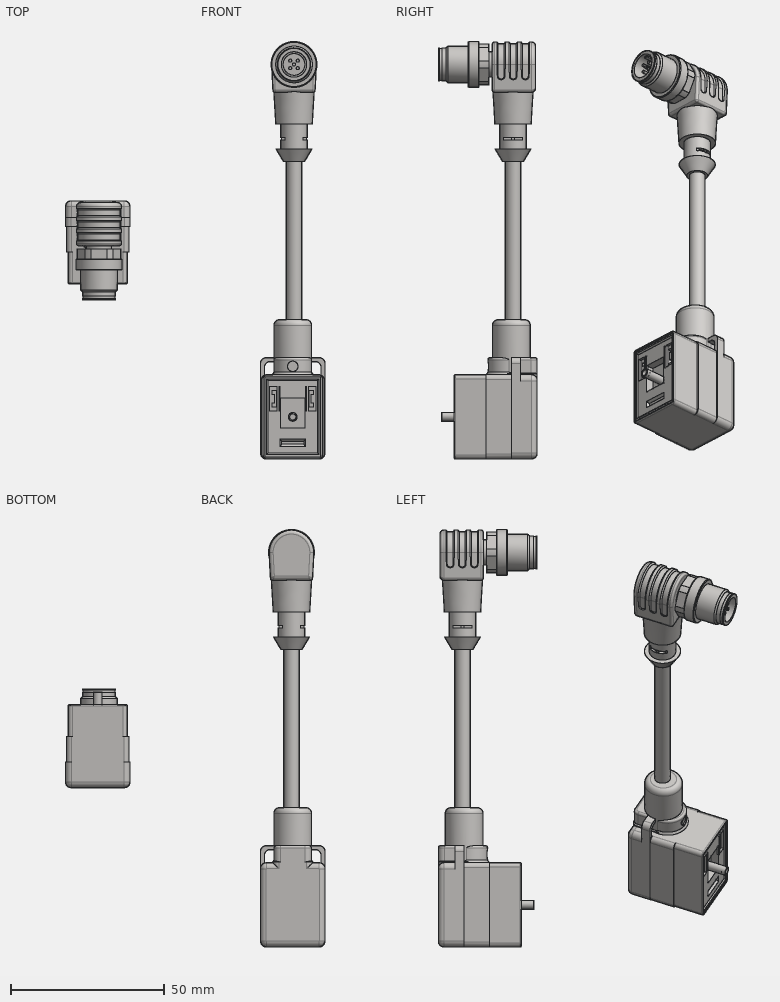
import cadquery as cq
import math


HOUSING_BACK = 8.5
HOUSING_FRONT = -18.7
HOUSING_TOP = 27.5
BRACKET_TOP = 33.1
SLEEVE_TOP = 45.5
CABLE_X = 0.4
CABLE_Y = 0.5
PLUG_AXIS_Z = 128.7
CUT_CLEARANCE = 1.4
JOINT_OVERLAP = 1.4

MIDDLE_START = 0.0
FRONT_START = -8.3
BACK_WIDTH = 21.1
MIDDLE_WIDTH = 20.4
FRONT_WIDTH = 19.3
BACK_RADIUS = 2.0
BACK_FACE_RADIUS = 1.9
MIDDLE_RADIUS = 1.6
FRONT_RADIUS = 1.4
FACE_EDGE_RADIUS = 0.4

PIN_Z = 13.8
PIN_DIAMETER = 2.9
PIN_TIP = -22.7
PIN_HOLE_DIAMETER = 2.0
PIN_HOLE_DEPTH = 1.4
RIM_DEPTH = 0.3
RIM_WIDTH = 18.0
RIM_Z = (0.7, 26.7)
RECESS_DEPTH = 0.7
RECESS_WIDTH = 17.0
RECESS_FLOOR_WIDTH = 16.0
RECESS_Z = (1.5, 26.1)
RECESS_FLOOR_Z = (2.0, 25.6)
FACE = HOUSING_FRONT + RECESS_DEPTH
WINDOW_WIDTH = 8.0
WINDOW_Z = (10.1, 19.9)
WINDOW_DEPTH = 2.7
SLIT_X = 4.4
SLIT_WIDTH = 0.3
SLIT_DEPTH = 0.7
TERMINAL_X = (5.2, 7.6)
TERMINAL_Z = (15.7, 23.7)
TERMINAL_DEPTH = 0.8
SOCKET_X = (5.3, 6.8)
SOCKET_Z = (17.0, 22.3)
SOCKET_WEB = 0.7
SOCKET_ARM = 1.2
SOCKET_DEPTH = 1.4
GROOVE_Z = 5.3
GROOVE_SIZE = (8.2, 2.3)
GROOVE_FLOOR_SIZE = (7.4, 1.0)
GROOVE_DEPTH = 0.8

BRACKET_DEPTH = 3.0
BRACKET_BAR = 1.4
BRACKET_OUTER_RADIUS = 1.9
BRACKET_INNER_RADIUS = 1.8
TOWER_FRONT = -1.2
TOWER_WIDTH = 12.1
TOWER_RADIUS = 2.0
TOWER_TOP_RADIUS = 0.8

SLEEVE_DIAMETER = 12.4
SLEEVE_RADIUS = SLEEVE_DIAMETER / 2
SLEEVE_TOP_FILLET = 1.9
COLLAR_OFFSET = 1.5
COLLAR_TOP_FILLET = 0.8
FLARE_HEIGHT = 0.8
FLARE_WIDTH = 0.5
DIMPLE_DIAMETER = 3.4
DIMPLE_Z = 30.2
DIMPLE_DEPTH = 0.5

CABLE_RADIUS = 2.6
CONE_BOTTOM_Z = 97.0
CONE_TOP_Z = 101.2
CONE_BOTTOM_RADIUS = 3.4
CONE_TOP_DIAMETER = 11.8
NECK_RADIUS = 4.4
NECK_SLOT_Z = 104.5
NECK_SLOT_HEIGHT = 1.0
NECK_SLOT_DEPTH = 1.4
NECK_WEB_WIDTH = 1.0
NECK_WEB_REACH = 4.1
GRIP_BOTTOM_Z = 109.2
GRIP_BOTTOM_RADIUS = 6.0
GRIP_TOP_RADIUS = 6.7

HEAD_BACK = 7.9
HEAD_FRONT = -6.3
HEAD_BOTTOM_Z = 119.5
HEAD_RADIUS = 7.4
HEAD_BOTTOM_WIDTH = 13.8
HEAD_BACK_RADIUS = 1.4
HEAD_EDGE_RADIUS = 0.8
GRIP_GROOVE_PITCH = 4.0
GRIP_GROOVE_COUNT = 3
GRIP_GROOVE_MIDDLE = 0.61
GRIP_GROOVE_FLOOR = 1.9
GRIP_GROOVE_FLOOR_RADIUS = 6.8
GRIP_GROOVE_BOTTOM_Z = 123.9
GRIP_GROOVE_WALL_ANGLE = 40.0

HEX_FLATS = 13.3
HEX_CORNER_DIAMETER = 14.3
HEX_BACK = -7.4
NUT_BACK = -10.5
NUT_FRONT = -14.2
NUT_DIAMETER = 15.0
NUT_CHAMFER = 0.3
NOSE_DIAMETER = 8.3
BARREL_DIAMETER = 12.0
BARREL_FRONT = -21.2
BARREL_CHAMFER = 0.5
TIP_DIAMETER = 10.8
TIP_GROOVE_DIAMETER = 10.5
TIP_GROOVE = (-23.4, -22.6)
PLUG_FRONT = -23.8
BORE_DIAMETER = 8.3
BORE_FLOOR = -17.0
INSERT_DIAMETER = 7.1
INSERT_FRONT = -18.4
KEY_WIDTH = 1.2
KEY_HEIGHT = 0.5
PLUG_PIN_DIAMETER = 1.0
PLUG_PIN_SPACING = 2.5
PLUG_PIN_TIP = -22.6


def box(x_range, y_range, z_range):
    """Box between the given limits."""
    sizes = [high - low for low, high in (x_range, y_range, z_range)]
    corner = (x_range[0], y_range[0], z_range[0])
    return cq.Workplane("XY").box(*sizes, centered=False).translate(corner)


def round_bar(diameter, y_back, y_front, x=0.0, z=0.0):
    """Cylinder along Y."""
    section = cq.Workplane("XZ", origin=(x, y_back, z)).circle(diameter / 2)
    return section.extrude(y_back - y_front)


def housing_section(width, y_back, y_front, radius):
    """Length of housing with its long edges rounded."""
    block = box((-width / 2, width / 2), (y_front, y_back), (0, HOUSING_TOP))
    return block.edges("|Y").fillet(radius)


def housing():
    back = housing_section(BACK_WIDTH, HOUSING_BACK, MIDDLE_START, BACK_RADIUS)
    back = back.faces(">Y").edges().fillet(BACK_FACE_RADIUS)
    middle = housing_section(MIDDLE_WIDTH, MIDDLE_START, FRONT_START, MIDDLE_RADIUS)
    front = housing_section(FRONT_WIDTH, FRONT_START, HOUSING_FRONT, FRONT_RADIUS)
    front = front.faces("<Y").edges().fillet(FACE_EDGE_RADIUS)
    return back.union(middle).union(front)


def tapered_pocket(y_front, depth, size, z_center, floor_size, floor_z_center):
    """Pocket with sloping walls, cut back from the plane at y_front."""
    opening = cq.Workplane("XZ", origin=(0, y_front, 0)).center(0, z_center).rect(*size)
    floor_plane = opening.workplane(offset=-depth).center(0, floor_z_center - z_center)
    return floor_plane.rect(*floor_size).loft(ruled=True)


def terminal_pocket():
    """Pocket on the +X side, with a C-shaped socket in its floor."""
    floor = FACE + TERMINAL_DEPTH
    pocket = box(TERMINAL_X, (FACE - CUT_CLEARANCE, floor), TERMINAL_Z)
    socket_depth = (floor, floor + SOCKET_DEPTH)
    socket = box(SOCKET_X, socket_depth, SOCKET_Z)
    core_x = (SOCKET_X[0] + SOCKET_WEB, SOCKET_X[1])
    core_z = (SOCKET_Z[0] + SOCKET_ARM, SOCKET_Z[1] - SOCKET_ARM)
    return pocket.union(socket.cut(box(core_x, socket_depth, core_z)))


def contact_face_cuts():
    rim_x = (-RIM_WIDTH / 2, RIM_WIDTH / 2)
    rim = box(rim_x, (HOUSING_FRONT - CUT_CLEARANCE, HOUSING_FRONT + RIM_DEPTH), RIM_Z)
    recess = tapered_pocket(
        HOUSING_FRONT + RIM_DEPTH,
        RECESS_DEPTH - RIM_DEPTH,
        (RECESS_WIDTH, RECESS_Z[1] - RECESS_Z[0]),
        sum(RECESS_Z) / 2,
        (RECESS_FLOOR_WIDTH, RECESS_FLOOR_Z[1] - RECESS_FLOOR_Z[0]),
        sum(RECESS_FLOOR_Z) / 2,
    )
    window_x = (-WINDOW_WIDTH / 2, WINDOW_WIDTH / 2)
    window = box(window_x, (FACE - CUT_CLEARANCE, FACE + WINDOW_DEPTH), WINDOW_Z)
    groove = tapered_pocket(FACE, GROOVE_DEPTH, GROOVE_SIZE, GROOVE_Z, GROOVE_FLOOR_SIZE, GROOVE_Z)
    slit_x = (SLIT_X - SLIT_WIDTH / 2, SLIT_X + SLIT_WIDTH / 2)
    slit = box(slit_x, (FACE - CUT_CLEARANCE, FACE + SLIT_DEPTH), TERMINAL_Z)
    side_cuts = terminal_pocket().union(slit)
    cuts = rim.union(recess).union(window).union(groove)
    return cuts.union(side_cuts).union(side_cuts.mirror("YZ"))


def bracket():
    """Arch over the back of the housing."""
    half = BACK_WIDTH / 2
    foot = HOUSING_TOP / 2
    outer = box((-half, half), (0, BRACKET_DEPTH), (foot, BRACKET_TOP))
    outer = outer.edges("|Y and >Z").fillet(BRACKET_OUTER_RADIUS)
    inner_half = half - BRACKET_BAR
    inner = box((-inner_half, inner_half), (0, BRACKET_DEPTH), (foot, BRACKET_TOP - BRACKET_BAR))
    inner = inner.edges("|Y and >Z").fillet(BRACKET_INNER_RADIUS)
    return outer.cut(inner)


def tower():
    """Block between the sleeve and the back of the housing, on a flared base."""
    foot = HOUSING_TOP / 2
    tower_x = (-TOWER_WIDTH / 2, TOWER_WIDTH / 2)
    block = box(tower_x, (TOWER_FRONT, HOUSING_BACK), (foot, BRACKET_TOP))
    block = block.edges("|Z and >Y").fillet(TOWER_RADIUS)
    block = block.edges(">Z").fillet(TOWER_TOP_RADIUS)
    base_half = TOWER_WIDTH / 2 + FLARE_WIDTH
    base_z = (foot, HOUSING_TOP + FLARE_HEIGHT)
    base = box((-base_half, base_half), (TOWER_FRONT, HOUSING_BACK), base_z)
    base = base.edges("|Z and >Y").fillet(TOWER_RADIUS)
    base = base.edges("|Y and >Z").chamfer(FLARE_HEIGHT, FLARE_WIDTH)
    return block.union(base)


def sleeve():
    base = HOUSING_TOP / 2
    tube = cq.Workplane("XY", origin=(0, 0, base)).circle(SLEEVE_RADIUS).extrude(SLEEVE_TOP - base)
    tube = tube.faces(">Z").edges().fillet(SLEEVE_TOP_FILLET)
    collar = cq.Workplane("XY", origin=(0, -COLLAR_OFFSET, HOUSING_TOP)).circle(SLEEVE_RADIUS)
    collar = collar.extrude(BRACKET_TOP - HOUSING_TOP).faces(">Z").edges().fillet(COLLAR_TOP_FILLET)
    flare = cq.Workplane("XY", origin=(0, -COLLAR_OFFSET, HOUSING_TOP))
    flare = flare.circle(SLEEVE_RADIUS + FLARE_WIDTH).workplane(offset=FLARE_HEIGHT)
    flare = flare.circle(SLEEVE_RADIUS).loft()
    collar_front = -COLLAR_OFFSET - SLEEVE_RADIUS
    dimple = round_bar(
        DIMPLE_DIAMETER, collar_front + DIMPLE_DEPTH, collar_front - CUT_CLEARANCE, z=DIMPLE_Z
    )
    return tube.union(collar).union(flare).cut(dimple)


def cable():
    """Cable, strain relief and grip turned about the cable axis."""
    profile = [
        (0, SLEEVE_TOP - JOINT_OVERLAP),
        (CABLE_RADIUS, SLEEVE_TOP - JOINT_OVERLAP),
        (CABLE_RADIUS, CONE_BOTTOM_Z),
        (CONE_BOTTOM_RADIUS, CONE_BOTTOM_Z),
        (CONE_TOP_DIAMETER / 2, CONE_TOP_Z),
        (NECK_RADIUS, CONE_TOP_Z),
        (NECK_RADIUS, GRIP_BOTTOM_Z),
        (GRIP_BOTTOM_RADIUS, GRIP_BOTTOM_Z),
        (GRIP_TOP_RADIUS, HEAD_BOTTOM_Z + JOINT_OVERLAP),
        (0, HEAD_BOTTOM_Z + JOINT_OVERLAP),
    ]
    turned = cq.Workplane("XZ").polyline(profile).close().revolve(360, (0, 0, 0), (0, 1, 0))
    slot_z = (NECK_SLOT_Z - NECK_SLOT_HEIGHT / 2, NECK_SLOT_Z + NECK_SLOT_HEIGHT / 2)
    slot_x = (NECK_RADIUS - NECK_SLOT_DEPTH, NECK_RADIUS + CUT_CLEARANCE)
    slot = box(slot_x, (-NECK_RADIUS, NECK_RADIUS), slot_z)
    turned = turned.cut(slot).cut(slot.mirror("YZ"))
    web_y = (-NECK_WEB_WIDTH / 2, NECK_WEB_WIDTH / 2)
    web = box((-NECK_WEB_REACH, NECK_WEB_REACH), web_y, slot_z)
    turned = turned.union(web)
    return turned.translate((CABLE_X, CABLE_Y, 0))


def grip_groove():
    """Groove with sloping walls running over the head and down both its sides, centred on Y = 0."""
    reach = HEAD_RADIUS + CUT_CLEARANCE
    depth = reach - GRIP_GROOVE_FLOOR_RADIUS
    half_floor = GRIP_GROOVE_FLOOR / 2
    half_top = half_floor + depth * math.tan(math.radians(GRIP_GROOVE_WALL_ANGLE))
    arch = cq.Workplane("XY").polyline(
        [
            (GRIP_GROOVE_FLOOR_RADIUS, -half_floor),
            (reach, -half_top),
            (reach, half_top),
            (GRIP_GROOVE_FLOOR_RADIUS, half_floor),
        ]
    )
    arch = arch.close().revolve(180, (0, 0, 0), (0, -1, 0))
    arc_bottom = GRIP_GROOVE_BOTTOM_Z - PLUG_AXIS_Z
    arc_center = arc_bottom + half_floor
    side = (
        cq.Workplane("YZ", origin=(GRIP_GROOVE_FLOOR_RADIUS, 0, 0))
        .moveTo(-half_floor, 0)
        .lineTo(-half_floor, arc_center)
        .threePointArc((0, arc_bottom), (half_floor, arc_center))
        .lineTo(half_floor, 0)
        .close()
        .extrude(depth, taper=-GRIP_GROOVE_WALL_ANGLE)
    )
    below_axis = box((0, 2 * reach), (-reach, reach), (-2 * reach, 0))
    side = side.intersect(below_axis)
    groove = arch.union(side).union(side.mirror("YZ"))
    return groove.translate((CABLE_X, GRIP_GROOVE_MIDDLE, PLUG_AXIS_Z))


def head():
    drop = HEAD_BOTTOM_Z - PLUG_AXIS_Z
    half_bottom = HEAD_BOTTOM_WIDTH / 2
    block = (
        cq.Workplane("XZ", origin=(CABLE_X, HEAD_BACK, PLUG_AXIS_Z))
        .moveTo(-HEAD_RADIUS, 0)
        .threePointArc((0, HEAD_RADIUS), (HEAD_RADIUS, 0))
        .lineTo(half_bottom, drop)
        .lineTo(-half_bottom, drop)
        .close()
        .extrude(HEAD_BACK - HEAD_FRONT)
    )
    block = block.faces(">Y").edges().fillet(HEAD_BACK_RADIUS)
    block = block.edges("<Y or <Z").fillet(HEAD_EDGE_RADIUS)
    for index in range(GRIP_GROOVE_COUNT):
        shift = (index - (GRIP_GROOVE_COUNT - 1) / 2) * GRIP_GROOVE_PITCH
        block = block.cut(grip_groove().translate((0, shift, 0)))
    return block


def plug_bar(diameter, y_back, y_front):
    """Cylinder on the plug axis."""
    return round_bar(diameter, y_back, y_front, CABLE_X, PLUG_AXIS_Z)


def plug():
    hex_plane = cq.Workplane("XZ", origin=(CABLE_X, HEX_BACK, PLUG_AXIS_Z))
    hexagon = hex_plane.polygon(6, HEX_FLATS / math.cos(math.pi / 6)).extrude(HEX_BACK - NUT_BACK)
    hexagon = hexagon.intersect(plug_bar(HEX_CORNER_DIAMETER, HEX_BACK, NUT_BACK))
    nut = plug_bar(NUT_DIAMETER, NUT_BACK, NUT_FRONT).edges().chamfer(NUT_CHAMFER)
    nose = plug_bar(NOSE_DIAMETER, HEAD_FRONT + JOINT_OVERLAP, HEX_BACK)
    barrel = plug_bar(BARREL_DIAMETER, NUT_FRONT, BARREL_FRONT)
    barrel = barrel.faces("<Y").edges().chamfer(BARREL_CHAMFER)
    tip = plug_bar(TIP_DIAMETER, BARREL_FRONT, PLUG_FRONT)
    groove_front, groove_back = TIP_GROOVE
    groove = plug_bar(TIP_DIAMETER, groove_back, groove_front)
    groove = groove.cut(plug_bar(TIP_GROOVE_DIAMETER, groove_back, groove_front))
    shell = nose.union(hexagon).union(nut).union(barrel).union(tip).cut(groove)
    shell = shell.cut(plug_bar(BORE_DIAMETER, BORE_FLOOR, PLUG_FRONT))
    insert = plug_bar(INSERT_DIAMETER, BORE_FLOOR, INSERT_FRONT)
    bore_top = PLUG_AXIS_Z + BORE_DIAMETER / 2
    key_x = (CABLE_X - KEY_WIDTH / 2, CABLE_X + KEY_WIDTH / 2)
    key_z = (bore_top - KEY_HEIGHT, bore_top + KEY_HEIGHT)
    key = box(key_x, (PLUG_PIN_TIP, BORE_FLOOR), key_z)
    shell = shell.union(insert).union(key)
    pin = plug_bar(PLUG_PIN_DIAMETER, BORE_FLOOR + JOINT_OVERLAP, PLUG_PIN_TIP)
    half = PLUG_PIN_SPACING / 2
    for x, z in [(0, 0), (-half, -half), (-half, half), (half, -half), (half, half)]:
        shell = shell.union(pin.translate((x, 0, z)))
    return shell


lower = housing().union(bracket()).union(tower()).union(sleeve()).cut(contact_face_cuts())
contact_pin = round_bar(PIN_DIAMETER, FACE + WINDOW_DEPTH + JOINT_OVERLAP, PIN_TIP, z=PIN_Z)
contact_pin = contact_pin.cut(round_bar(PIN_HOLE_DIAMETER, PIN_TIP + PIN_HOLE_DEPTH, PIN_TIP, z=PIN_Z))
result = lower.union(contact_pin).union(cable()).union(head()).union(plug())